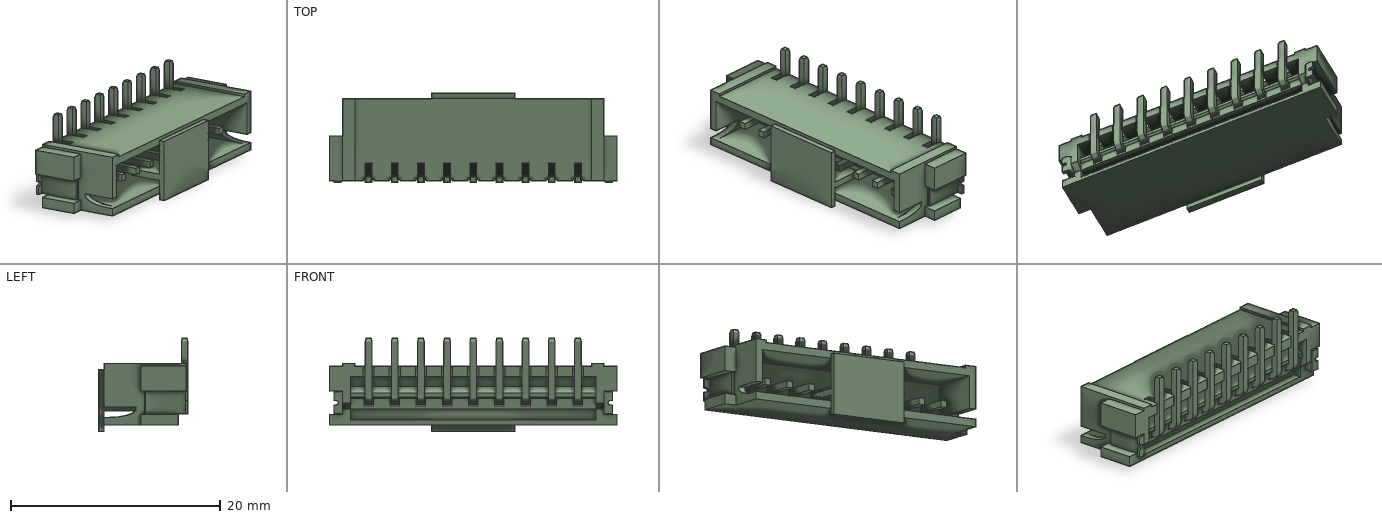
import cadquery as cq
import math


overall_length = 27.5
body_length = 24.97
body_depth = 7.86
body_height = 5.65
rib_width = 1.15
rib_height = 0.25
wing_depth = 4.32
upper_wing_bottom = 3.25
lower_wing_top = 1.02
foot_setback = 0.75
foot_slope_top = 2.1
foot_slope_bottom = 1.55

recess_length = 23.5
recess_top = 4.65
recess_depth = 1.7
shelf_back_z = 3.68
shelf_front_z = 3.08
shelf_front_y = 0.5
lip_bottom_z = 2.7
wall_top_z = 2.55
wall_y = foot_setback
channel_top = 1.5
channel_bottom = 0.5
channel_depth = 1.55

side_wall = 0.72
cavity_floor = 0.75
cavity_top = body_height - cavity_floor
cavity_front = recess_depth + cavity_floor

side_slot_front = 4.78
side_slot_flat_front = 7.32
side_slot_top = 1.73
side_slot_nose_z = 1.6

pin_count = 9
pin_pitch = 2.5
pin_width = 0.65
pin_thickness = 0.63
pin_front = -0.16
pin_top = 8.3
pin_bottom = 1.95
pin_end_y = 6.05
pin_inner_radius = 0.16
pin_tip_length = 0.33
pin_tip_inset = 0.08
roof_notch_width = pin_width
notch_mouth_chamfer = 0.205
pin_socket_width = 0.9
pin_socket_bottom = 1.82
pin_socket_depth = 0.4
pin_socket_rise = 0.2

clip_thickness = 0.25
clip_bend_radius = 0.33
clip_reach = 0.85
clip_end_y = 4.02
clip_narrow_y = 1.26
clip_clearance = 0.04
clip_corner_radius = 0.1
clip_end_chamfer = 0.1
clip_notch_radius = 0.2
clip_notch_depth = 0.45

cap_length = 7.98
cap_thickness = 0.52
cap_bottom = -0.63
cap_top = 5.3
tongue_bottom = 1.32


def box(x0, x1, y0, y1, z0, z1):
    """Box between two opposite corners."""
    return cq.Workplane("XY").box(x1 - x0, y1 - y0, z1 - z0, centered=False).translate((x0, y0, z0))


def centred_box(length, y0, y1, z0, z1):
    """Box that is symmetric about X = 0."""
    return box(-length / 2, length / 2, y0, y1, z0, z1)


def extrude_along_x(points, length):
    """Closed Y-Z outline extruded symmetrically about X = 0."""
    return cq.Workplane("YZ").polyline(points).close().extrude(length / 2, both=True)


def both_ends(shape):
    """The shape together with its mirror image at the other end of the row."""
    return shape.union(shape.mirror("YZ"))


def make_housing():
    """Solid housing block with top ribs and mounting wings at both ends."""
    body = extrude_along_x(
        [
            (foot_setback, 0),
            (body_depth, 0),
            (body_depth, body_height),
            (0, body_height),
            (0, foot_slope_top),
            (foot_setback, foot_slope_bottom),
        ],
        body_length,
    )
    side_x = body_length / 2
    end_x = overall_length / 2
    rib = box(side_x - rib_width, side_x, 0, body_depth, body_height, body_height + rib_height)
    upper_wing = box(side_x, end_x, 0, wing_depth, upper_wing_bottom, body_height)
    lower_wing = box(side_x, end_x, foot_setback, wing_depth, 0, lower_wing_top)
    for end_feature in (rib, upper_wing, lower_wing):
        body = body.union(both_ends(end_feature))
    return body


def make_recess():
    """Outline removed behind the pins: a window over a sloped shelf, then a low channel."""
    clear_y = 2 * pin_front
    return extrude_along_x(
        [
            (clear_y, recess_top),
            (recess_depth, recess_top),
            (recess_depth, shelf_back_z),
            (shelf_front_y, shelf_front_z),
            (shelf_front_y, lip_bottom_z),
            (wall_y, wall_top_z),
            (wall_y, channel_top),
            (channel_depth, channel_top),
            (channel_depth, channel_bottom),
            (clear_y, channel_bottom),
        ],
        recess_length,
    )


def make_cavity():
    """Rectangular mating cavity behind the front wall."""
    length = body_length - 2 * side_wall
    return centred_box(length, cavity_front, body_depth, cavity_floor, cavity_top)


def make_side_slots():
    """Openings with a flat floor at the back that sweeps up in a quarter ellipse."""
    return (
        cq.Workplane("YZ")
        .moveTo(body_depth, cavity_floor)
        .lineTo(side_slot_flat_front, cavity_floor)
        .ellipseArc(
            side_slot_flat_front - side_slot_front,
            side_slot_nose_z - cavity_floor,
            angle1=180,
            angle2=270,
            sense=-1,
            startAtCurrent=True,
        )
        .lineTo(side_slot_front, side_slot_top)
        .lineTo(body_depth, side_slot_top)
        .close()
        .extrude(body_length / 2, both=True)
    )


def make_roof_notch():
    """Notch over one pin, through the roof, with a flared mouth."""
    half = roof_notch_width / 2
    mouth = half + notch_mouth_chamfer
    return (
        cq.Workplane("XY")
        .workplane(offset=recess_top)
        .polyline(
            [
                (-mouth, 0),
                (-half, notch_mouth_chamfer),
                (-half, recess_depth),
                (half, recess_depth),
                (half, notch_mouth_chamfer),
                (mouth, 0),
            ]
        )
        .close()
        .extrude(body_height - recess_top)
    )


def make_pin_socket():
    """Pocket in the lower front wall around one pin bend."""
    back_y = wall_y + pin_socket_depth
    return extrude_along_x(
        [
            (wall_y, pin_socket_bottom),
            (back_y, pin_socket_bottom + pin_socket_rise),
            (back_y, wall_top_z),
            (wall_y, wall_top_z),
        ],
        pin_socket_width,
    )


def make_pin():
    """Upright pin with a tapered tip, bent back through the front wall."""
    back = pin_front + pin_thickness
    shoulder_z = pin_top - pin_tip_length
    outer_radius = pin_inner_radius + pin_thickness
    corner = math.sqrt(0.5)
    bend_y = pin_front + outer_radius
    bend_z = pin_bottom + outer_radius
    shank = (
        cq.Workplane("YZ")
        .moveTo(pin_front, shoulder_z)
        .lineTo(pin_front, bend_z)
        .threePointArc(
            (bend_y - outer_radius * corner, bend_z - outer_radius * corner),
            (bend_y, pin_bottom),
        )
        .lineTo(pin_end_y, pin_bottom)
        .lineTo(pin_end_y, pin_bottom + pin_thickness)
        .lineTo(bend_y, pin_bottom + pin_thickness)
        .threePointArc(
            (bend_y - pin_inner_radius * corner, bend_z - pin_inner_radius * corner),
            (back, bend_z),
        )
        .lineTo(back, shoulder_z)
        .close()
        .extrude(pin_width / 2, both=True)
    )
    tip = (
        cq.Workplane("XY")
        .workplane(offset=shoulder_z)
        .center(0, (pin_front + back) / 2)
        .rect(pin_width, pin_thickness)
        .workplane(offset=pin_tip_length)
        .rect(pin_width - 2 * pin_tip_inset, pin_thickness - 2 * pin_tip_inset)
        .loft()
    )
    return shank.union(tip)


def make_clip():
    """L-shaped solder clip on the +X side, with a notched foot turned outwards."""
    inner_x = body_length / 2
    outer_x = inner_x + clip_reach
    bottom = lower_wing_top + clip_clearance
    top = upper_wing_bottom - clip_clearance
    foot_back = pin_front + clip_thickness

    notch = (
        cq.Workplane("XZ", origin=(outer_x, foot_back, (bottom + top) / 2))
        .slot2D(2 * clip_notch_depth, 2 * clip_notch_radius)
        .extrude(clip_thickness)
    )
    foot = box(inner_x, outer_x, pin_front, foot_back, bottom, top).cut(notch)
    foot = foot.edges("|Y and >X").fillet(clip_corner_radius)

    leg_x = inner_x + clip_thickness
    front_leg = box(inner_x, leg_x, pin_front, clip_narrow_y, bottom, top)
    rear_leg = box(inner_x, leg_x, clip_narrow_y, clip_end_y, lower_wing_top, upper_wing_bottom)
    rear_leg = rear_leg.edges("|Z and >X and >Y").chamfer(clip_end_chamfer)
    bracket = foot.union(front_leg).edges("|Z and <X and <Y").fillet(clip_bend_radius)
    return bracket.union(rear_leg)


def make_cap():
    """Flat cap on the back face, with a tongue below the pins in the cavity."""
    plate = centred_box(cap_length, body_depth, body_depth + cap_thickness, cap_bottom, cap_top)
    tongue = centred_box(cap_length, side_slot_front, body_depth, tongue_bottom, pin_bottom)
    return plate.union(tongue)


result = make_housing().cut(make_recess()).cut(make_cavity()).cut(make_side_slots())
roof_notch = make_roof_notch()
pin_socket = make_pin_socket()
pin = make_pin()
for index in range(pin_count):
    place = ((index - (pin_count - 1) / 2) * pin_pitch, 0, 0)
    result = result.cut(roof_notch.translate(place))
    result = result.cut(pin_socket.translate(place))
    result = result.union(pin.translate(place))
result = result.union(both_ends(make_clip())).union(make_cap())